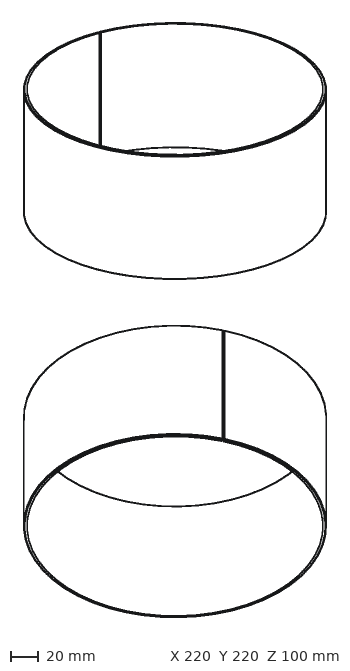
import cadquery as cq

outer_diameter = 220.0
height = 100.0
wall = 2.5
rim_chamfer = 0.7
slit_width = 1.5
slit_center_y = 1.0

outer_radius = outer_diameter / 2
inner_radius = outer_radius - wall

solid_disc = cq.Workplane("XY").circle(outer_radius).extrude(height)
chamfered_disc = solid_disc.faces("|Z").edges().chamfer(rim_chamfer)
bore = cq.Workplane("XY").circle(inner_radius).extrude(height)
tube = chamfered_disc.cut(bore)

slit_length = 4 * wall
slit = (
    cq.Workplane("XY")
    .center(-outer_radius, slit_center_y)
    .rect(slit_length, slit_width)
    .extrude(height)
)

result = tube.cut(slit)